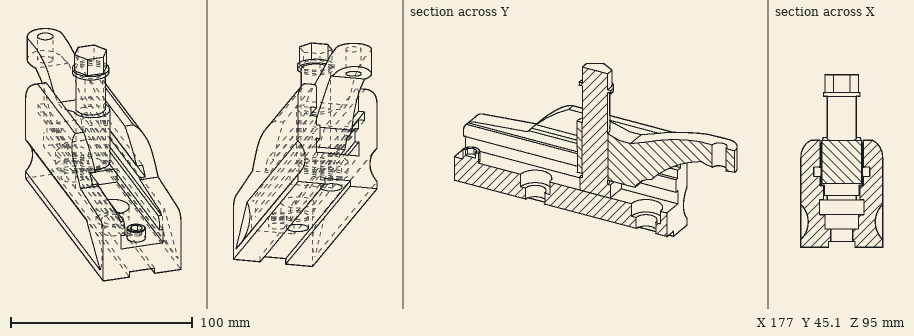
import cadquery as cq
import math


base_length = 134.2
base_width = 45.1
base_height = 59.0
half_width = base_width / 2
left_edge_radius = 5.3
ramp_start_x = 68.9
ramp_mid = (82.8, 50.0)
ramp_end = (94.9, 38.2)
nose_height = 35.0
nose_radius = 5.8

shoulder_height = 9.0
shoulder_inset = 5.7
shoulder_radius = 10.1
shoulder_bevel_height = 0.9
shoulder_bevel_inset = 0.09

scallop_bottom_z = 4.2
scallop_top_z = 23.7
scallop_depth = 4.0
scallop_top_end_x = 105.5
scallop_bottom_end_x = 128.9

keyway_width = 14.5
keyway_depth = 3.2
tee_floor_z = 18.0
tee_height = 8.1
tee_width = 24.2
neck_width = 20.0
channel_width = 23.9
channel_floor_z = 34.0
guide_width = 30.6

trunnion_diameter = 5.0
trunnion_x = 26.4
trunnion_z = 41.6

mount_hole_xs = (13.3, 83.2)
mount_hole_diameter = 12.0
counterbore_diameter = 18.2
counterbore_depth = 7.8
stud_x = 123.9
stud_diameter = 10.1
stud_height = 6.2
stud_chamfer = 0.4
stud_socket_flats = 6.0
stud_socket_depth = 3.5

bolt_x = 45.3
shank_diameter = 16.1
collar_diameter = 20.2
collar_bottom_z = 83.0
collar_height = 2.1
overall_height = 95.0
tee_head_length = 19.3

lever_end_x = base_length - 177
lever_top_z = 68.0
lever_crown_x = -21.2
lever_crown_mid = (-3.5, 64.8)
lever_crown_end = (12.4, 59.1)
valley_start_x = 22.8
valley_end_x = 30.0
valley_z = 55.4
boss_top_x = 46.4
boss_top_z = 60.5
boss_bottom_z = 28.5
boss_bottom_x = 20.4
heel = (9.7, 36.3)
heel_mid = (16.0, 33.5)
underside_mid = (-5.1, 48.5)
pad_end = (-21.5, 55.4)
pad_mid = (-31.0, 53.6)
pad_tip_z = 54.5

eye_radius = 10.0
eye_x = lever_end_x + eye_radius
eye_hole_diameter = 8.5
arm_end_x = -12.7
arm_half_width = 9.4
flare_mid = (-2.7, 9.5)
flare_end = (7.3, 10.5)
waist_x = 26.4
waist_half_width = 11.5
boss_x = 46.7
boss_radius = 10.1
foot_width = 19.5
foot_top_z = 34.2


def long_bar(width, bottom_z, top_z):
    """Bar along the whole base, centred on its width."""
    return (
        cq.Workplane("XY")
        .box(base_length, width, top_z - bottom_z, centered=(False, True, False))
        .translate((0, 0, bottom_z))
    )


def hexagon_prism(flats, x, bottom_z, height):
    """Upright hexagonal prism with two corners along Y."""
    corner_diameter = flats / math.cos(math.pi / 6)
    return (
        cq.Workplane("XY", origin=(x, 0, bottom_z))
        .transformed(rotate=(0, 0, 90))
        .polygon(6, corner_diameter)
        .extrude(height)
    )


def base_side_profile():
    """Base outline in XZ: tall block, curved ramp and low sloping nose."""
    profile = (
        cq.Workplane("XZ")
        .moveTo(0, 0)
        .lineTo(0, base_height)
        .lineTo(ramp_start_x, base_height)
        .threePointArc(ramp_mid, ramp_end)
        .lineTo(base_length, nose_height)
        .lineTo(base_length, 0)
        .close()
        .extrude(half_width, both=True)
    )
    profile = profile.edges("|Y").edges("<X and >Z").fillet(left_edge_radius)
    return profile.edges("|Y").edges(">X").edges(">Z").fillet(nose_radius)


def base_end_section():
    """Base outline in YZ with rounded upper shoulders."""
    shoulder_z = base_height - shoulder_height
    shoulder_y = half_width - shoulder_bevel_inset
    crest_y = half_width - shoulder_inset
    return (
        cq.Workplane("YZ")
        .moveTo(-half_width, 0)
        .lineTo(half_width, 0)
        .lineTo(half_width, shoulder_z - shoulder_bevel_height)
        .lineTo(shoulder_y, shoulder_z)
        .radiusArc((crest_y, base_height), -shoulder_radius)
        .lineTo(-crest_y, base_height)
        .radiusArc((-shoulder_y, shoulder_z), -shoulder_radius)
        .lineTo(-half_width, shoulder_z - shoulder_bevel_height)
        .close()
        .extrude(base_length)
    )


def scallops():
    """Round troughs along both sides, ended by one slanting plane."""
    half_chord = (scallop_top_z - scallop_bottom_z) / 2
    radius = (half_chord**2 + scallop_depth**2) / (2 * scallop_depth)
    centre_y = half_width - scallop_depth + radius
    centre_z = (scallop_top_z + scallop_bottom_z) / 2
    troughs = (
        cq.Workplane("YZ")
        .pushPoints([(-centre_y, centre_z), (centre_y, centre_z)])
        .circle(radius)
        .extrude(base_length)
    )
    slanted_limit = (
        cq.Workplane("XZ")
        .moveTo(0, scallop_bottom_z)
        .lineTo(scallop_bottom_end_x, scallop_bottom_z)
        .lineTo(scallop_top_end_x, scallop_top_z)
        .lineTo(0, scallop_top_z)
        .close()
        .extrude(base_width, both=True)
    )
    return troughs.intersect(slanted_limit)


def socket_stud():
    """Short stud with a hexagonal socket, standing on the tee slot floor."""
    stud = (
        cq.Workplane("XY", origin=(stud_x, 0, tee_floor_z))
        .circle(stud_diameter / 2)
        .extrude(stud_height)
        .faces(">Z")
        .chamfer(stud_chamfer)
    )
    socket_floor_z = tee_floor_z + stud_height - stud_socket_depth
    return stud.cut(hexagon_prism(stud_socket_flats, stud_x, socket_floor_z, stud_socket_depth))


def make_base():
    base = base_side_profile().intersect(base_end_section())
    base = base.cut(scallops())

    base = base.cut(long_bar(keyway_width, 0, keyway_depth))
    base = base.cut(long_bar(tee_width, tee_floor_z, tee_floor_z + tee_height))
    base = base.cut(long_bar(neck_width, tee_floor_z, base_height))
    base = base.cut(long_bar(channel_width, channel_floor_z, base_height))

    trunnion_radius = trunnion_diameter / 2
    base = base.cut(long_bar(guide_width, trunnion_z - trunnion_radius, trunnion_z + trunnion_radius))

    base = (
        base.copyWorkplane(cq.Workplane("XY", origin=(0, 0, tee_floor_z)))
        .pushPoints([(x, 0) for x in mount_hole_xs])
        .cboreHole(mount_hole_diameter, counterbore_diameter, counterbore_depth)
    )
    return base.union(socket_stud())


def lever_side_profile():
    return (
        cq.Workplane("XZ")
        .moveTo(lever_end_x, pad_tip_z)
        .lineTo(lever_end_x, lever_top_z)
        .lineTo(lever_crown_x, lever_top_z)
        .threePointArc(lever_crown_mid, lever_crown_end)
        .lineTo(valley_start_x, valley_z)
        .lineTo(valley_end_x, valley_z)
        .lineTo(boss_top_x, boss_top_z)
        .lineTo(boss_x + boss_radius, boss_top_z)
        .lineTo(boss_x + boss_radius, boss_bottom_z)
        .lineTo(boss_bottom_x, boss_bottom_z)
        .threePointArc(heel_mid, heel)
        .threePointArc(underside_mid, pad_end)
        .threePointArc(pad_mid, (lever_end_x, pad_tip_z))
        .close()
        .extrude(half_width, both=True)
    )


def lever_plan_outline():
    """Lever seen from above: round eye, narrow arm, swollen middle and round boss."""
    return (
        cq.Workplane("XY")
        .moveTo(eye_x, eye_radius)
        .lineTo(arm_end_x, arm_half_width)
        .threePointArc(flare_mid, flare_end)
        .threePointArc((waist_x, waist_half_width), (boss_x, boss_radius))
        .threePointArc((boss_x + boss_radius, 0), (boss_x, -boss_radius))
        .threePointArc((waist_x, -waist_half_width), (flare_end[0], -flare_end[1]))
        .threePointArc((flare_mid[0], -flare_mid[1]), (arm_end_x, -arm_half_width))
        .lineTo(eye_x, -eye_radius)
        .threePointArc((lever_end_x, 0), (eye_x, eye_radius))
        .close()
        .extrude(overall_height)
    )


def make_lever():
    lever = lever_side_profile().intersect(lever_plan_outline())

    foot = long_bar(foot_width, 0, foot_top_z)
    lever = lever.cut(long_bar(base_width, 0, foot_top_z).cut(foot))

    trunnion = (
        cq.Workplane("XZ", origin=(trunnion_x, 0, trunnion_z))
        .circle(trunnion_diameter / 2)
        .extrude(guide_width / 2, both=True)
    )
    lever = lever.union(trunnion)

    for x, diameter in ((eye_x, eye_hole_diameter), (bolt_x, shank_diameter)):
        lever = lever.cut(cq.Workplane("XY").center(x, 0).circle(diameter / 2).extrude(overall_height))
    return lever


def make_bolt():
    tee_head = (
        cq.Workplane("XY", origin=(bolt_x, 0, tee_floor_z))
        .box(tee_head_length, tee_width, tee_height, centered=(True, True, False))
    )
    shank_bottom_z = tee_floor_z + tee_height
    shank = (
        cq.Workplane("XY", origin=(bolt_x, 0, shank_bottom_z))
        .circle(shank_diameter / 2)
        .extrude(collar_bottom_z - shank_bottom_z)
    )
    collar = (
        cq.Workplane("XY", origin=(bolt_x, 0, collar_bottom_z))
        .circle(collar_diameter / 2)
        .extrude(collar_height)
    )
    collar_top_z = collar_bottom_z + collar_height
    head = hexagon_prism(shank_diameter, bolt_x, collar_top_z, overall_height - collar_top_z)
    return tee_head.union(shank).union(collar).union(head)


base = make_base()
lever = make_lever()
bolt = make_bolt()

result = cq.Compound.makeCompound([base.val(), lever.val(), bolt.val()])